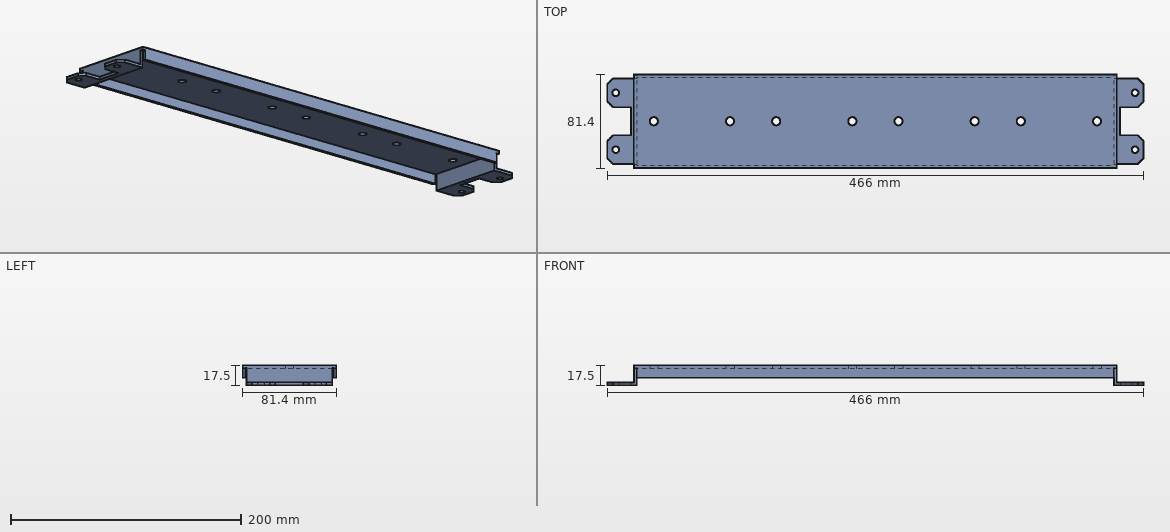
import cadquery as cq

length = 466.0
end_wall_width = 74.5
side_overhang = 3.45
height = 17.5
sheet = 2.6

body_length = 419.5
side_flange_height = 11.0

tab_inner_gap = 24.0
tab_chamfer = 5.0
notch_lip = 3.0
tab_hole_diameter = 5.5
tab_hole_inset = 7.5

pair_count = 4
pair_pitch = 106.2
pair_spacing = 66.0
plate_hole_diameter = 7.0

width = end_wall_width + 2 * side_overhang
tab_reach = (length - body_length) / 2
tab_width = (end_wall_width - tab_inner_gap) / 2
tab_center_y = (end_wall_width + tab_inner_gap) / 4


def block(x_size, y_size, z_size, x, y, z_bottom):
    """Box centered on (x, y) and standing on z_bottom."""
    return cq.Workplane("XY").box(x_size, y_size, z_size, centered=(True, True, False)).translate((x, y, z_bottom))


def make_top_plate():
    plate = block(body_length, width, sheet, 0, 0, height - sheet)
    first_pair = -(pair_count - 1) * pair_pitch / 2
    hole_points = [
        (first_pair + pair * pair_pitch + side * pair_spacing / 2, 0)
        for pair in range(pair_count)
        for side in (-1, 1)
    ]
    return plate.faces(">Z").workplane(origin=(0, 0, height)).pushPoints(hole_points).hole(plate_hole_diameter)


def make_side_flange(side):
    flange_length = body_length - 2 * sheet
    y = side * (width - sheet) / 2
    return block(flange_length, sheet, side_flange_height, 0, y, height - side_flange_height)


def make_tab(end, side):
    tab = block(tab_reach, tab_width, sheet, end * (length - tab_reach) / 2, side * tab_center_y, 0)
    tab = tab.edges("|Z").edges(">X" if end > 0 else "<X").chamfer(tab_chamfer)
    hole = (
        cq.Workplane("XY")
        .center(end * (length / 2 - tab_hole_inset), side * tab_center_y)
        .circle(tab_hole_diameter / 2)
        .extrude(sheet)
    )
    return tab.cut(hole)


def make_end(end):
    """End wall, the lip at its foot and the two tabs."""
    wall = block(sheet, end_wall_width, height, end * (body_length - sheet) / 2, 0, 0)
    lip = block(notch_lip, end_wall_width, sheet, end * (body_length + notch_lip) / 2, 0, 0)
    foot = wall.union(lip)
    for side in (-1, 1):
        foot = foot.union(make_tab(end, side))
    return foot


result = make_top_plate()
for direction in (-1, 1):
    result = result.union(make_side_flange(direction))
    result = result.union(make_end(direction))